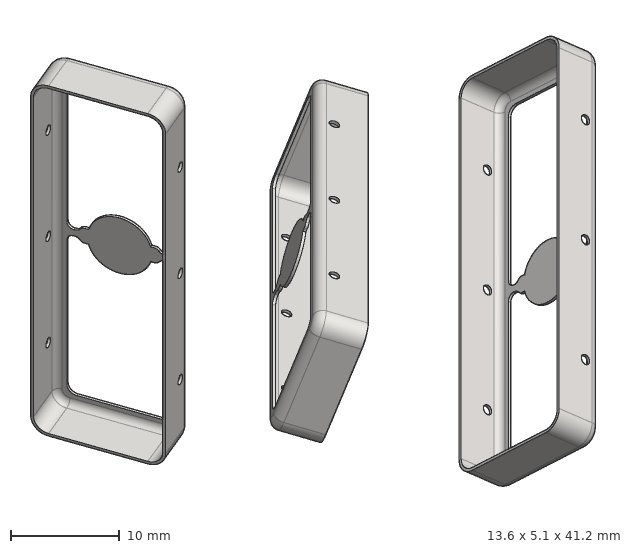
import cadquery as cq
import math

width = 13.6
depth = 5.1
height = 41.2
wall = 0.3
corner_radius = 1.8
back_edge_radius = 1.0

lip_from_outside = 1.5
window_width = width - 2 * lip_from_outside
window_height = height - 2 * lip_from_outside
window_corner_radius = 1.0

disc_diameter = 6.5
crossbar_height = 0.75
crossbar_root_radius = 0.7
shoulder_height = 1.75
shoulder_flat_end = 3.5
shoulder_blend_radius = 0.6
hanger_z = -0.05

hole_diameter = 1.0
hole_pitch = 12.5
hole_from_back = 1.8

back_y = depth / 2
floor_y = back_y - wall


def rounded_block(size_x, size_z, corner, y_start, y_end):
    """Block along Y, centred on the Y axis, with its four long edges rounded."""
    block = cq.Workplane("XY").box(size_x, y_end - y_start, size_z)
    block = block.edges("|Y").fillet(corner)
    return block.translate((0, (y_start + y_end) / 2, 0))


def make_tray():
    """Outer shell of constant wall, its back edges rounded inside and out."""
    outer = rounded_block(width, height, corner_radius, -back_y, back_y)
    outer = outer.faces(">Y").edges().fillet(back_edge_radius)
    cavity = rounded_block(
        width - 2 * wall, height - 2 * wall, corner_radius - wall, -back_y, floor_y
    )
    cavity = cavity.faces(">Y").edges().fillet(back_edge_radius - wall)
    return outer.cut(cavity)


def make_windows():
    """The two openings above and below the crossbar."""
    windows = cq.Workplane("XY")
    for side, outer_edges, root_edges in ((1, ">Z", "<Z"), (-1, "<Z", ">Z")):
        outer_z = side * window_height / 2
        root_z = hanger_z + side * crossbar_height / 2
        opening = cq.Workplane("XY").box(window_width, wall, abs(outer_z - root_z))
        opening = opening.faces(outer_edges).edges("|Y").fillet(window_corner_radius)
        opening = opening.faces(root_edges).edges("|Y").fillet(crossbar_root_radius)
        opening_center = (0, back_y - wall / 2, (outer_z + root_z) / 2)
        windows = windows.add(opening.translate(opening_center))
    return windows.combine()


def make_disc():
    """Disc whose shoulders run out to the crossbar in S-curves of two equal arcs."""
    plane = cq.Workplane("XZ", origin=(0, back_y, 0))
    disc = plane.circle(disc_diameter / 2).extrude(wall)

    top_z = shoulder_height / 2
    bar_z = crossbar_height / 2
    step = top_z - bar_z
    curve_length = math.sqrt(step * (4 * shoulder_blend_radius - step))
    curve_end_x = shoulder_flat_end + curve_length
    curve_middle = (shoulder_flat_end + curve_length / 2, (top_z + bar_z) / 2)
    quarter = (
        plane.moveTo(0, top_z)
        .lineTo(shoulder_flat_end, top_z)
        .radiusArc(curve_middle, shoulder_blend_radius)
        .radiusArc((curve_end_x, bar_z), -shoulder_blend_radius)
        .lineTo(curve_end_x, 0)
        .lineTo(0, 0)
        .close()
        .extrude(wall)
    )
    half = quarter.union(quarter.mirror("XY"))
    disc = disc.union(half).union(half.mirror("YZ"))
    return disc.translate((0, 0, hanger_z))


def make_side_holes():
    """Row of holes along X, evenly spaced about the middle of the frame."""
    hole_y = back_y - hole_from_back
    hole_points = [(hole_y, step * hole_pitch) for step in (-1, 0, 1)]
    return (
        cq.Workplane("YZ")
        .pushPoints(hole_points)
        .circle(hole_diameter / 2)
        .extrude(width, both=True)
    )


result = make_tray().cut(make_windows()).union(make_disc()).cut(make_side_holes())